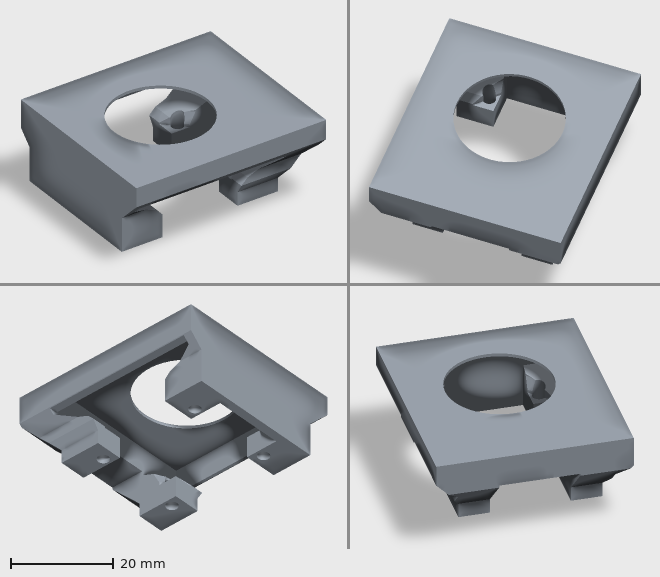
import cadquery as cq

width = 40.0
length = 45.0
height = 17.2
plate_bottom = 10.65

foot_left = 3.05
foot_right = 34.95
flank_bottom = 7.75
right_flank_top = flank_bottom + width - foot_right

opening_x = 20.25
opening_y = 19.25
opening_diameter = 22.0
lip_thickness = 0.68
wall_thickness = 2.02
recess_end = 37.15
recess_size = recess_end - wall_thickness

leg_width = 7.75
leg_depth = 9.65
leg_chamfer_z = 5.25
ramp_low_z = 6.7
leg_chamfer = ramp_low_z - leg_chamfer_z
ramp_top_z = 9.22
left_inner_x = foot_left + leg_width
right_inner_x = foot_right - leg_width
back_inner_y = 28.35
back_outer_y = 37.9
back_slope_bottom = 3.1
back_slope_top = back_slope_bottom + length - back_outer_y
back_ramp_top_z = 9.68
back_foot_inset = 1.35

seat_z = 4.95
seat_reach = 4.3
screw_diameter = 2.7
screw_offset_x = 1.85
screw_offset_y = 2.65
relief_low_z = 5.6
relief_high_z = 8.0
relief_run = 0.95


def make_body_outline():
    """Cross-section across X, running the full length."""
    return (
        cq.Workplane("XZ")
        .polyline([
            (0, height),
            (width, height),
            (width, right_flank_top),
            (foot_right, flank_bottom),
            (foot_right, 0),
            (foot_left, 0),
            (foot_left, flank_bottom),
            (0, flank_bottom + foot_left),
            (0, height),
        ])
        .close()
        .extrude(-length)
    )


def extrude_along_x(points, x_start, x_length):
    """Prism with the given (Y, Z) outline."""
    return (
        cq.Workplane("YZ", origin=(x_start, 0, 0))
        .polyline(points)
        .close()
        .extrude(x_length)
    )


def make_leg_pair(points):
    """A leg shape at each side: wide enough to reach the flanks, trimmed later."""
    left = extrude_along_x(points, 0, left_inner_x)
    right = extrude_along_x(points, right_inner_x, width - right_inner_x)
    return left.union(right)


def make_screw_seat(corner_x, corner_y, toward_x, toward_y):
    """Triangular corner notch with a screw hole; toward_x/y point into the leg."""
    notch = (
        cq.Workplane("XY", origin=(corner_x, corner_y, seat_z))
        .polyline([(0, 0), (toward_x * seat_reach, 0), (0, toward_y * seat_reach)])
        .close()
        .extrude(plate_bottom - seat_z)
    )
    hole = (
        cq.Workplane("XY")
        .center(corner_x + toward_x * screw_offset_x, corner_y + toward_y * screw_offset_y)
        .circle(screw_diameter / 2)
        .extrude(plate_bottom)
    )
    relief_plane = cq.Plane(
        origin=(corner_x + toward_x * seat_reach / 2, corner_y + toward_y * seat_reach / 2, 0),
        xDir=(toward_x, toward_y, 0),
        normal=(toward_y, -toward_x, 0),
    )
    relief = (
        cq.Workplane(relief_plane)
        .polyline([
            (0, relief_low_z),
            (relief_run, relief_high_z),
            (relief_run, plate_bottom),
            (0, plate_bottom),
        ])
        .close()
        .extrude(-toward_x * toward_y * seat_reach)
    )
    return notch.union(relief).union(hole)


def make_foot_undercut(face_x, inward):
    """Sloped relief narrowing the outer side of a back foot."""
    inset_x = face_x + inward * back_foot_inset
    return (
        cq.Workplane("XZ", origin=(0, back_inner_y, 0))
        .polyline([
            (face_x, 0),
            (inset_x, 0),
            (inset_x, back_slope_bottom),
            (face_x, leg_chamfer_z),
        ])
        .close()
        .extrude(back_inner_y - length)
    )


plate = cq.Workplane("XY").box(width, length, height - plate_bottom, centered=False)
plate = plate.translate((0, 0, plate_bottom))
front_wall = cq.Workplane("XY").box(width, wall_thickness, plate_bottom, centered=False)
front_legs = make_leg_pair([
    (0, 0),
    (leg_depth, 0),
    (leg_depth, leg_chamfer_z),
    (leg_depth - leg_chamfer, ramp_low_z),
    (wall_thickness, ramp_top_z),
    (wall_thickness, plate_bottom),
    (0, plate_bottom),
])
back_legs = make_leg_pair([
    (back_outer_y, 0),
    (back_inner_y, 0),
    (back_inner_y, leg_chamfer_z),
    (back_inner_y + leg_chamfer, ramp_low_z),
    (recess_end, back_ramp_top_z),
    (recess_end, plate_bottom),
    (length, plate_bottom),
    (length, back_slope_top),
    (back_outer_y, back_slope_bottom),
])
result = plate.union(front_wall).union(front_legs).union(back_legs)
result = result.intersect(make_body_outline())

opening = cq.Workplane("XY").center(opening_x, opening_y)
result = result.cut(opening.circle(opening_diameter / 2).extrude(height))
recess_height = height - lip_thickness - plate_bottom
recess = cq.Workplane("XY").box(recess_size, recess_size, recess_height, centered=False)
result = result.cut(recess.translate((wall_thickness, wall_thickness, plate_bottom)))

for corner_x, toward_x in ((left_inner_x, -1), (right_inner_x, 1)):
    for corner_y, toward_y in ((leg_depth, -1), (back_inner_y, 1)):
        result = result.cut(make_screw_seat(corner_x, corner_y, toward_x, toward_y))
for face_x, inward in ((foot_left, 1), (foot_right, -1)):
    result = result.cut(make_foot_undercut(face_x, inward))